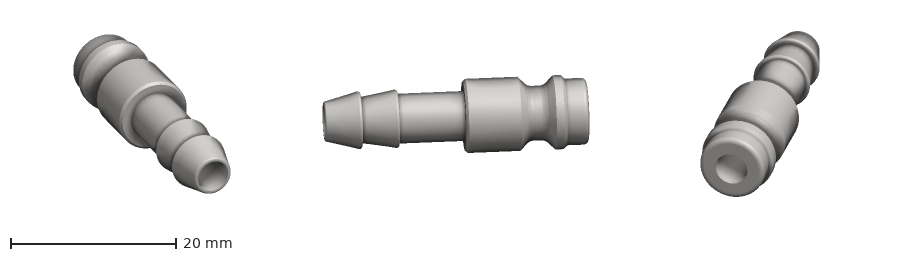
import cadquery as cq
import math

TOTAL_LENGTH = 32.0
BORE_DIAMETER = 4.0

NOSE_DIAMETER = 8.1
NOSE_LENGTH = 2.6
NOSE_ROUND = 0.6
BODY_DIAMETER = 9.0
COLLAR_LAND = 1.0

GROOVE_DIAMETER = 6.65
GROOVE_ROUND = 1.0
BODY_START = 8.3
BODY_END = 15.0
BODY_CHAMFER = 0.3

STEM_DIAMETER = 6.05
BARB_DIAMETER = 7.2
BARB_LENGTH = 4.5
BARB_ROUND = 0.3
INNER_BARB_ANGLE = 10.0
END_BARB_ANGLE = 15.0

nose_radius = NOSE_DIAMETER / 2
body_radius = BODY_DIAMETER / 2
groove_radius = GROOVE_DIAMETER / 2
stem_radius = STEM_DIAMETER / 2
barb_radius = BARB_DIAMETER / 2
collar_start = NOSE_LENGTH + body_radius - nose_radius
collar_end = collar_start + COLLAR_LAND
groove_depth = body_radius - groove_radius
end_barb_start = TOTAL_LENGTH - BARB_LENGTH
inner_barb_start = end_barb_start - BARB_LENGTH


def revolve_about_x(profile_points):
    """Turn a closed (x, radius) outline into a solid of revolution about X."""
    outline = cq.Workplane("XY").polyline(profile_points).close()
    return outline.revolve(360, (0, 0, 0), (1, 0, 0))


def round_circles_at(solid, x, radius, round_radius):
    """Round the circular edge of the given radius lying at station x."""
    tolerance = 0.01
    corner = radius + tolerance
    edge_box = cq.selectors.BoxSelector(
        (x - tolerance, -corner, -corner),
        (x + tolerance, corner, corner),
        boundingbox=True,
    )
    largest_circle = solid.edges(edge_box).edges(cq.selectors.RadiusNthSelector(-1))
    return largest_circle.fillet(round_radius)


def make_plug():
    """Nose, collar, groove and body."""
    groove_start = collar_end + groove_depth
    groove_end = BODY_START - groove_depth
    plug = revolve_about_x([
        (0, 0),
        (0, nose_radius),
        (NOSE_LENGTH, nose_radius),
        (collar_start, body_radius),
        (collar_end, body_radius),
        (groove_start, groove_radius),
        (groove_end, groove_radius),
        (BODY_START, body_radius),
        (BODY_END - BODY_CHAMFER, body_radius),
        (BODY_END, body_radius - BODY_CHAMFER),
        (BODY_END, 0),
    ])
    plug = round_circles_at(plug, 0, nose_radius, NOSE_ROUND)
    for x in (groove_start, groove_end):
        plug = round_circles_at(plug, x, groove_radius, GROOVE_ROUND)
    return plug


def barb_tip_radius(taper_angle):
    """Radius at the small end of a barb."""
    return barb_radius - BARB_LENGTH * math.tan(math.radians(taper_angle))


def make_barb(start, taper_angle):
    """One barb: a cone whose large end, facing the plug, has a rounded rim."""
    end = start + BARB_LENGTH
    barb = revolve_about_x([
        (start, 0),
        (start, barb_radius),
        (end, barb_tip_radius(taper_angle)),
        (end, 0),
    ])
    return round_circles_at(barb, start, barb_radius, BARB_ROUND)


def make_stem():
    """Plain stem between the body and the first barb."""
    return revolve_about_x([
        (BODY_END, 0),
        (BODY_END, stem_radius),
        (inner_barb_start, stem_radius),
        (inner_barb_start, 0),
    ])


def make_bore():
    """Through bore along the full length."""
    return cq.Workplane("YZ").circle(BORE_DIAMETER / 2).extrude(TOTAL_LENGTH)


inner_barb = make_barb(inner_barb_start, INNER_BARB_ANGLE)
end_barb = make_barb(end_barb_start, END_BARB_ANGLE)
end_barb = round_circles_at(end_barb, TOTAL_LENGTH, barb_tip_radius(END_BARB_ANGLE), BARB_ROUND)

result = make_plug().union(make_stem()).union(inner_barb).union(end_barb).cut(make_bore())